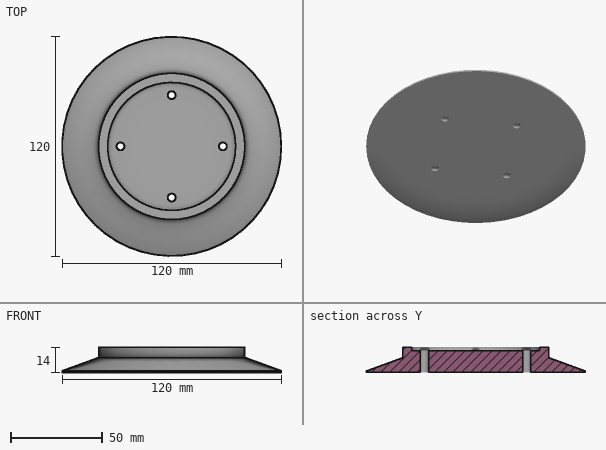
import math

import cadquery as cq

flange_radius = 60.0
collar_radius = 40.0
total_height = 14.0
rim_thickness = 1.0
flank_angle = 20.0
flank_top = rim_thickness + (flange_radius - collar_radius) * math.tan(math.radians(flank_angle))

recess_radius = 35.0
recess_depth = 2.0
recess_fillet = 1.0
recess_floor = total_height - recess_depth

hole_diameter = 4.2
bolt_circle_radius = 28.0
hole_count = 4


def make_body():
    """Revolve the half section about Z; the underside lies on Z = 0."""
    arc_offset = recess_fillet * math.sin(math.radians(45))
    fillet_center_radius = recess_radius - recess_fillet
    fillet_center_height = recess_floor + recess_fillet
    fillet_midpoint = (fillet_center_radius + arc_offset, fillet_center_height - arc_offset)
    half_section = (
        cq.Workplane("XZ")
        .moveTo(0, 0)
        .lineTo(flange_radius, 0)
        .lineTo(flange_radius, rim_thickness)
        .lineTo(collar_radius, flank_top)
        .lineTo(collar_radius, total_height)
        .lineTo(recess_radius, total_height)
        .lineTo(recess_radius, fillet_center_height)
        .threePointArc(fillet_midpoint, (fillet_center_radius, recess_floor))
        .lineTo(0, recess_floor)
        .close()
    )
    return half_section.revolve(360, (0, 0, 0), (0, 1, 0))


def make_bolt_holes():
    """Through-hole cutters, with the first hole on the +X axis."""
    return (
        cq.Workplane("XY")
        .polarArray(bolt_circle_radius, 0, 360, hole_count)
        .circle(hole_diameter / 2)
        .extrude(total_height)
    )


result = make_body().cut(make_bolt_holes())